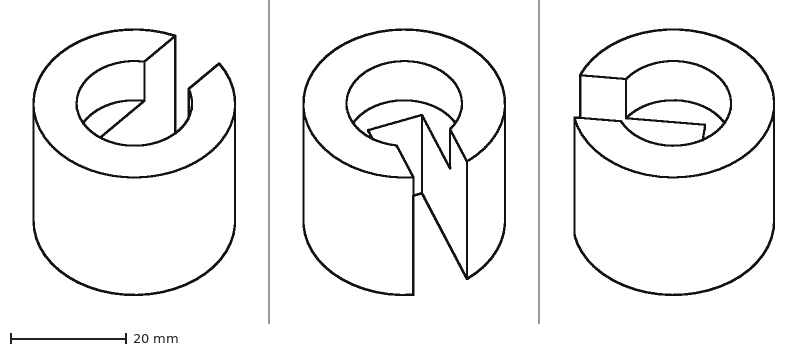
import cadquery as cq

outer_diameter = 34.95
height = 30.0

bore_diameter = 20.0
bore_depth = 10.0

slot_width = bore_diameter / 2
slot_offset_x = -0.2
slot_floor_y = -bore_diameter / 4
slot_length = outer_diameter

body = cq.Workplane("XY").circle(outer_diameter / 2).extrude(height)

bore = (
    cq.Workplane("XY")
    .workplane(offset=height - bore_depth)
    .circle(bore_diameter / 2)
    .extrude(bore_depth)
)

slot = (
    cq.Workplane("XY")
    .center(slot_offset_x, slot_floor_y + slot_length / 2)
    .rect(slot_width, slot_length)
    .extrude(height)
)

result = body.cut(bore).cut(slot)